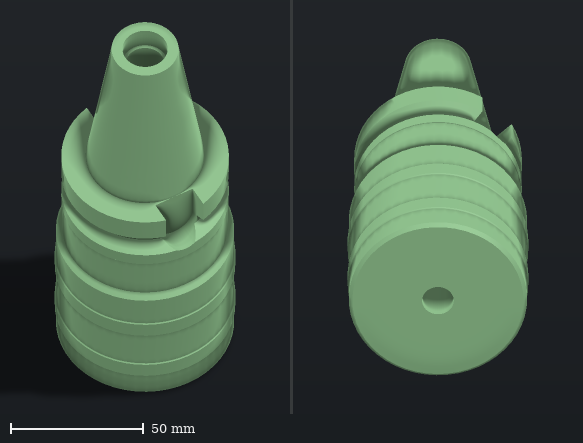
import cadquery as cq

TOTAL_HEIGHT = 170.4
GAUGE_Z = 105.0
FLANGE_TOP_Z = 104.0
GROOVE_TOP_Z = 93.9
GROOVE_BOTTOM_Z = 83.5
GROOVE_FLANK_HEIGHT = 3.0
FLANGE_BOTTOM_Z = 78.0
SLEEVE_TOP_Z = 60.0
SLEEVE_SHOULDER_HEIGHT = 2.0
BAND_BOTTOMS = (11.5, 36.3)
BAND_HEIGHT = 7.7

TAPER_TOP_RADIUS = 12.6
TAPER_BASE_RADIUS = 22.3
FLANGE_RADIUS = 31.5
GROOVE_RADIUS = 26.4
BODY_RADIUS = 31.2
SLEEVE_RADIUS = 33.5
BAND_RADIUS = 68.0 / 2
BAND_CHAMFER = BAND_RADIUS - SLEEVE_RADIUS
BOTTOM_CHAMFER = 1.4

PILOT_RADIUS = 8.5
PILOT_DEPTH = 8.9
THROUGH_RADIUS = 6.0
THREAD_RADIUS = 7.2
THREAD_DEPTH = 34.0

SLOT_WIDTH = 16.0
SLOT_BOTTOM_Z = 82.5
SLOT_FLOOR_X = 22.3


def revolved(profile):
    """Turn a closed (radius, z) outline a full circle around the Z axis."""
    return cq.Workplane("XZ").polyline(profile).close().revolve(360, (0, 0), (0, 1))


def revolved_body():
    """Taper, grooved flange and cylindrical sleeve as one revolved profile."""
    profile = [
        (0, 0),
        (SLEEVE_RADIUS - BOTTOM_CHAMFER, 0),
        (SLEEVE_RADIUS, BOTTOM_CHAMFER),
        (SLEEVE_RADIUS, SLEEVE_TOP_Z - SLEEVE_SHOULDER_HEIGHT),
        (BODY_RADIUS, SLEEVE_TOP_Z),
        (BODY_RADIUS, FLANGE_BOTTOM_Z),
        (FLANGE_RADIUS, FLANGE_BOTTOM_Z),
        (FLANGE_RADIUS, GROOVE_BOTTOM_Z),
        (GROOVE_RADIUS, GROOVE_BOTTOM_Z + GROOVE_FLANK_HEIGHT),
        (GROOVE_RADIUS, GROOVE_TOP_Z - GROOVE_FLANK_HEIGHT),
        (FLANGE_RADIUS, GROOVE_TOP_Z),
        (FLANGE_RADIUS, FLANGE_TOP_Z),
        (TAPER_BASE_RADIUS, FLANGE_TOP_Z),
        (TAPER_BASE_RADIUS, GAUGE_Z),
        (TAPER_TOP_RADIUS, TOTAL_HEIGHT),
        (0, TOTAL_HEIGHT),
    ]
    return revolved(profile)


def raised_band(bottom_z):
    """Ring around the sleeve with both rims chamfered."""
    disc = cq.Workplane("XY").workplane(offset=bottom_z).circle(BAND_RADIUS).extrude(BAND_HEIGHT)
    return disc.edges().chamfer(BAND_CHAMFER)


def stepped_bore():
    """Pilot bore at the small end, then the thread bore and the through hole."""
    thread_floor_z = TOTAL_HEIGHT - THREAD_DEPTH
    pilot_floor_z = TOTAL_HEIGHT - PILOT_DEPTH
    profile = [
        (0, 0),
        (THROUGH_RADIUS, 0),
        (THROUGH_RADIUS, thread_floor_z),
        (THREAD_RADIUS, thread_floor_z),
        (THREAD_RADIUS, pilot_floor_z),
        (PILOT_RADIUS, pilot_floor_z),
        (PILOT_RADIUS, TOTAL_HEIGHT),
        (0, TOTAL_HEIGHT),
    ]
    return revolved(profile)


def drive_slot(side):
    """Round-bottomed slot, open at the top of the flange, on the +X or -X side."""
    half_width = SLOT_WIDTH / 2
    arc_center_z = SLOT_BOTTOM_Z + half_width
    return (
        cq.Workplane("YZ")
        .workplane(offset=side * SLOT_FLOOR_X)
        .moveTo(-half_width, FLANGE_TOP_Z)
        .lineTo(-half_width, arc_center_z)
        .threePointArc((0, SLOT_BOTTOM_Z), (half_width, arc_center_z))
        .lineTo(half_width, FLANGE_TOP_Z)
        .close()
        .extrude(side * (BAND_RADIUS - SLOT_FLOOR_X))
    )


result = revolved_body()

for band_bottom in BAND_BOTTOMS:
    result = result.union(raised_band(band_bottom))

for slot_side in (-1, 1):
    result = result.cut(drive_slot(slot_side))

result = result.cut(stepped_bore())